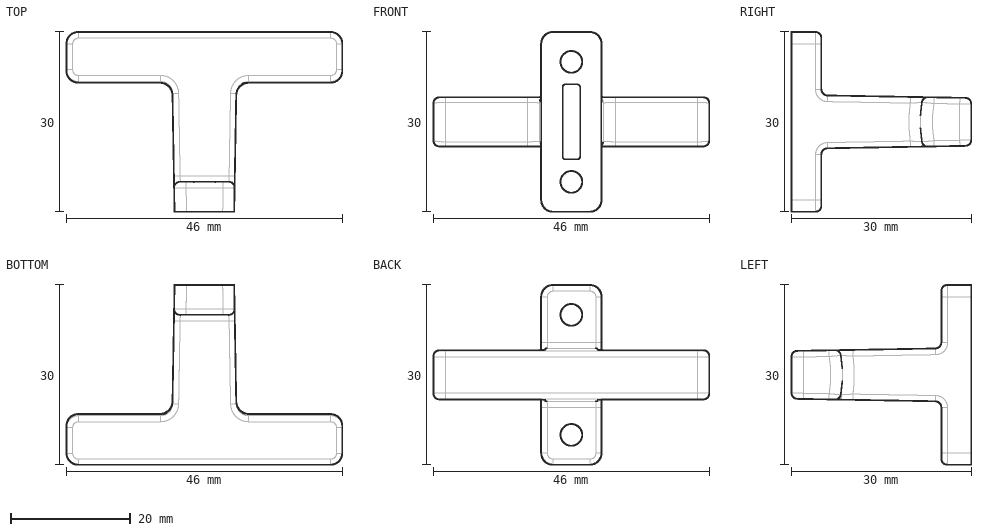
import cadquery as cq
import math


bar_length = 46.0
depth = 30.0
plate_height = 30.0

bar_depth = 8.5
bar_rear_height = 8.0
bar_front_radius = 20.0
draft_slope = math.tan(math.radians(1.0))

plate_front_width = 10.0
plate_thickness = 5.0
hole_diameter = 3.6
hole_spacing = 20.0

panel_width = 2.95
panel_height = 12.5
panel_depth = 0.2
panel_corner_radius = 0.5

corner_radius = 2.0
rim_radius = 1.0

bar_front = depth - bar_depth
stem_rear = depth - bar_depth / 2


def half_width(y):
    """Half width of the stem and plate, whose shared flanks spread towards the rear."""
    return plate_front_width / 2 + y * draft_slope


def half_height(y):
    """Half height of the stem and crossbar, which thin towards the rear."""
    return bar_rear_height / 2 + (depth - y) * draft_slope


def make_flanked_block(rear, height):
    """Block between the drafted flanks, from the front face back to the given Y."""
    front_half = half_width(0)
    rear_half = half_width(rear)
    return (
        cq.Workplane("XY")
        .polyline([(-front_half, 0), (front_half, 0), (rear_half, rear), (-rear_half, rear)])
        .close()
        .extrude(height / 2, both=True)
    )


def make_bar():
    """Crossbar with a flat rear, rounded ends and a front that bulges forward at mid height."""
    half = half_height(0)
    bulge = bar_front_radius - math.sqrt(bar_front_radius**2 - half**2)
    return (
        cq.Workplane("YZ")
        .moveTo(bar_front + bulge, -half)
        .threePointArc((bar_front, 0), (bar_front + bulge, half))
        .lineTo(depth, half)
        .lineTo(depth, -half)
        .close()
        .extrude(bar_length / 2, both=True)
        .faces("<X or >X")
        .edges("not |Y")
        .fillet(corner_radius)
    )


def make_handle():
    """Crossbar and stem with drafted top and bottom, filleted where the stem meets the bar."""
    front_half = half_height(0)
    rear_half = half_height(depth)
    wedge = (
        cq.Workplane("YZ")
        .polyline([(0, -front_half), (0, front_half), (depth, rear_half), (depth, -rear_half)])
        .close()
        .extrude(bar_length / 2, both=True)
    )
    stem = make_flanked_block(stem_rear, 2 * front_half)
    inner_corners = cq.selectors.BoxSelector(
        (-plate_front_width, bar_front - rim_radius, -rim_radius),
        (plate_front_width, bar_front + rim_radius, rim_radius),
    )
    return make_bar().union(stem).intersect(wedge).edges(inner_corners).fillet(corner_radius)


def make_plate():
    """Mounting plate with rounded corners."""
    plate = make_flanked_block(plate_thickness, plate_height)
    return plate.faces("<Z or >Z").edges("not |X").fillet(corner_radius)


def round_junction(body):
    """Concave fillets where the top and bottom of the stem run into the plate."""
    z = half_height(plate_thickness)
    reach = rim_radius / 2
    for side in (-1, 1):
        junction = cq.selectors.BoxSelector(
            (-reach, plate_thickness - reach, side * z - reach),
            (reach, plate_thickness + reach, side * z + reach),
        )
        body = body.edges(junction).fillet(rim_radius)
    return body


def round_rims(body):
    """Round the upper and lower rims, each one smooth loop over bar, stem and plate."""
    for side in ("<Z", ">Z"):
        body = body.faces(">Y").edges(side).fillet(rim_radius)
    return body


def cut_holes(body):
    """Two screw holes through the plate, above and below the stem."""
    holes = (
        cq.Workplane("XZ")
        .pushPoints([(0, -hole_spacing / 2), (0, hole_spacing / 2)])
        .circle(hole_diameter / 2)
        .extrude(-plate_thickness)
    )
    return body.cut(holes)


def cut_panel(body):
    """Shallow label panel in the middle of the front face."""
    panel = (
        cq.Workplane("XZ")
        .rect(panel_width, panel_height)
        .extrude(-panel_depth)
        .edges("|Y")
        .fillet(panel_corner_radius)
    )
    return body.cut(panel)


body = make_handle().union(make_plate())
body = round_junction(body)
body = round_rims(body)
body = cut_holes(body)
result = cut_panel(body)